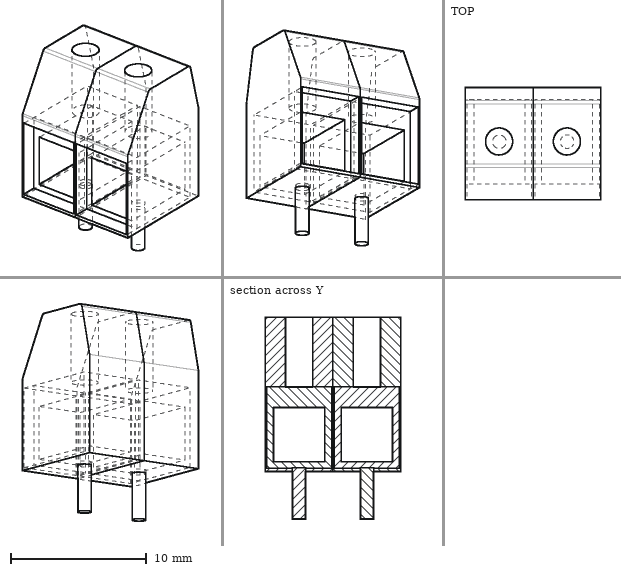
import cadquery as cq

POLE_COUNT = 2
TOTAL_WIDTH = 10.0
POLE_WIDTH = TOTAL_WIDTH / POLE_COUNT

HOUSING_DEPTH = 8.3
TOTAL_HEIGHT = 14.9
PIN_LENGTH_BELOW = 3.5
HOUSING_HEIGHT = TOTAL_HEIGHT - PIN_LENGTH_BELOW
FRONT_WALL_HEIGHT = 6.93
BACK_WALL_HEIGHT = 7.4
FRONT_SLOPE_RUN = 2.5
BACK_SLOPE_RUN = 1.0
EDGE_RADIUS = 0.3

SIDE_WALL = 0.125
FLOOR_THICKNESS = 0.25
OPENING_TOP = 6.25
OPENING_WIDTH = POLE_WIDTH - 2 * SIDE_WALL
OPENING_HEIGHT = OPENING_TOP - FLOOR_THICKNESS

AXIS_Y = 4.3
PIN_DIAMETER = 1.0
SCREW_HOLE_DIAMETER = 2.0

CAGE_SETBACK = 1.2
CAGE_DEPTH = 2 * (AXIS_Y - CAGE_SETBACK)
CAGE_WALL = 0.49
WIRE_HOLE_TOP = 4.72
WIRE_HOLE_BOTTOM = FLOOR_THICKNESS + CAGE_WALL
WIRE_HOLE_WIDTH = OPENING_WIDTH - 2 * CAGE_WALL
WIRE_HOLE_HEIGHT = WIRE_HOLE_TOP - WIRE_HOLE_BOTTOM
OPENING_DEPTH = CAGE_SETBACK + CAGE_DEPTH


def block(width, depth, height, front_y, bottom_z):
    """Box centred on X, starting at the given front and bottom planes."""
    return (
        cq.Workplane("XY")
        .box(width, depth, height, centered=(True, False, False))
        .translate((0, front_y, bottom_z))
    )


def vertical_cylinder(diameter, bottom_z, top_z):
    """Cylinder on the common axis of the pin and the screw hole."""
    return (
        cq.Workplane("XY", origin=(0, AXIS_Y, bottom_z))
        .circle(diameter / 2)
        .extrude(top_z - bottom_z)
    )


def make_housing():
    """One pole's housing, with its wire opening, screw hole and pin hole."""
    profile = [
        (0, 0),
        (HOUSING_DEPTH, 0),
        (HOUSING_DEPTH, BACK_WALL_HEIGHT),
        (HOUSING_DEPTH - BACK_SLOPE_RUN, HOUSING_HEIGHT),
        (FRONT_SLOPE_RUN, HOUSING_HEIGHT),
        (0, FRONT_WALL_HEIGHT),
    ]
    body = cq.Workplane("YZ").polyline(profile).close().extrude(POLE_WIDTH / 2, both=True)

    body = body.faces(">Z").edges("|X").fillet(EDGE_RADIUS)
    body = body.faces("<Y").edges(">Z").fillet(EDGE_RADIUS)

    opening = block(OPENING_WIDTH, OPENING_DEPTH, OPENING_HEIGHT, 0, FLOOR_THICKNESS)
    screw_hole = vertical_cylinder(SCREW_HOLE_DIAMETER, OPENING_TOP, HOUSING_HEIGHT)
    pin_hole = vertical_cylinder(PIN_DIAMETER, 0, FLOOR_THICKNESS)
    return body.cut(opening).cut(screw_hole).cut(pin_hole)


def make_cage():
    """Cage filling the back of the opening, with a rectangular wire hole through it."""
    cage = block(OPENING_WIDTH, CAGE_DEPTH, OPENING_HEIGHT, CAGE_SETBACK, FLOOR_THICKNESS)
    wire_hole = block(WIRE_HOLE_WIDTH, CAGE_DEPTH, WIRE_HOLE_HEIGHT, CAGE_SETBACK, WIRE_HOLE_BOTTOM)
    return cage.cut(wire_hole)


def make_pin():
    """Round pin that passes through the housing floor and ends under the cage."""
    return vertical_cylinder(PIN_DIAMETER, -PIN_LENGTH_BELOW, FLOOR_THICKNESS)


bodies = []
for pole in range(POLE_COUNT):
    pole_x = (pole - (POLE_COUNT - 1) / 2) * POLE_WIDTH
    for part in (make_housing(), make_cage(), make_pin()):
        bodies.append(part.translate((pole_x, 0, 0)).solids().val())

result = cq.Compound.makeCompound(bodies)